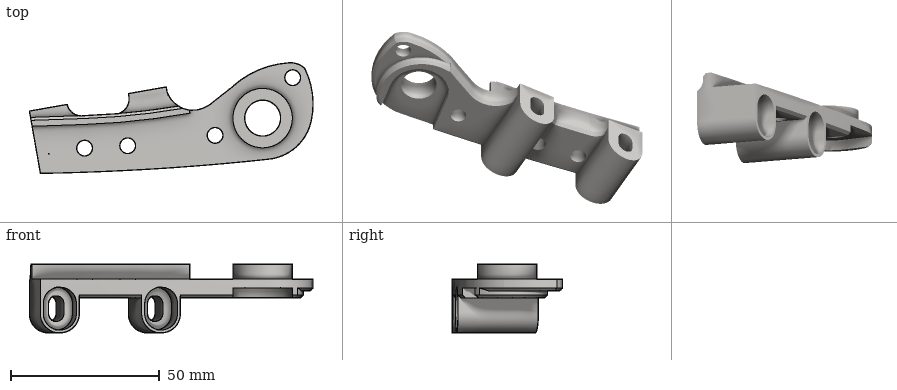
import math

import cadquery as cq


LIP_TOP = 5.0
SHELF_Z = -1.75
WEB_BOTTOM = -3.0
TAIL_BOTTOM = -4.0
ARM_BOTTOM = -6.35
MOUNT_BOTTOM = -18.15
BOTTOM_CHAMFER = 1.0
BEVEL_ANGLE = 45.0

BEARING_BORE = 12.0
BEARING_SEAT = 20.0
SMALL_HOLE = 5.2
SMALL_HOLE_CENTRES = [(-59.9, -10.1), (-45.4, -9.3), (-16.0, -5.8), (10.1, 13.6)]

DEEP_END_CENTRE = (-1.55, -1.7)
DEEP_END_RADIUS = 15.3
DEEP_END_START = -7.0

MOUNT_ANGLE = 10.0
MOUNT_CORNER = (-78.5, 2.4)
MOUNT_WIDTH = 13.0
MOUNT_PITCH = 33.8
MOUNT_WALL = 1.0
END_WALL = 15.4
FIRST_FLANK = 0.5
SECOND_LEFT_FLANK = 1.0
SECOND_RIGHT_FLANK = 1.9
SECOND_CORNER_TURN = 2.7
ARM_END_LENGTH = 21.35
SLOT_WIDTH = 5.2
SLOT_SPACING = 3.4

LIP_WIDTH = 3.0
LIP_CHAMFER = 1.0
COVE_RADIUS = 4.75
LIP_BEND = (-60.0, -2.13)
LIP_SLOPE = 2.0
LIP_RADIUS = 250.0
LIP_SWEEP = 8.2
LIP_LEAD = 20.0

REACH = 60.0


def mount_point(along, back):
    """Plan position from distances along the mount ends and towards the front."""
    angle = math.radians(MOUNT_ANGLE)
    x = MOUNT_CORNER[0] + along * math.cos(angle) + back * math.sin(angle)
    y = MOUNT_CORNER[1] + along * math.sin(angle) - back * math.cos(angle)
    return (x, y)


def lip_point(turn, outward=0.0):
    """Point on the curved lip edge after a turn in degrees, moved outward."""
    start = math.radians(LIP_SLOPE)
    angle = math.radians(LIP_SLOPE + turn)
    centre_x = LIP_BEND[0] - LIP_RADIUS * math.sin(start)
    centre_y = LIP_BEND[1] + LIP_RADIUS * math.cos(start)
    radius = LIP_RADIUS - outward
    return (centre_x + radius * math.sin(angle), centre_y - radius * math.cos(angle))


def prism(profile, bottom, top):
    """Upright body between two heights from a plan drawn at Z = 0."""
    return profile.extrude(top - bottom).translate((0, 0, bottom))


def arm_outline():
    """Plan of the whole arm, counter-clockwise from its front left corner."""
    second = MOUNT_PITCH
    return (
        cq.Workplane("XY")
        .moveTo(*mount_point(0, ARM_END_LENGTH))
        .threePointArc((-40.4, -17.35), (1.6, -13.9))
        .threePointArc((11.3, -9.7), (16.37, -1.0))
        .tangentArcPoint((14.2, 16.7), relative=False)
        .threePointArc((11.9, 18.2), (8.5, 18.61))
        .threePointArc((-0.2, 16.7), (-10.0, 10.7))
        .lineTo(-16.5, 5.6)
        .threePointArc((-19.3, 3.7), (-22.0, 2.8))
        .lineTo(-24.3, 2.7)
        .threePointArc((-29.2, 4.7), mount_point(second + MOUNT_WIDTH, SECOND_RIGHT_FLANK))
        .lineTo(*mount_point(second + MOUNT_WIDTH, 0))
        .lineTo(*mount_point(second, 0))
        .lineTo(*mount_point(second, SECOND_LEFT_FLANK))
        .tangentArcPoint(lip_point(SECOND_CORNER_TURN, LIP_WIDTH), relative=False)
        .threePointArc(lip_point(SECOND_CORNER_TURN / 2, LIP_WIDTH), lip_point(0, LIP_WIDTH))
        .threePointArc((-64.2, 2.0), mount_point(MOUNT_WIDTH, FIRST_FLANK))
        .lineTo(*mount_point(MOUNT_WIDTH, 0))
        .lineTo(*mount_point(0, 0))
        .close()
    )


def along_lip(section):
    """Sweep a section, drawn as (outward, height), along the inner edge of the lip."""
    slope = math.radians(LIP_SLOPE)
    start_x = LIP_BEND[0] - LIP_LEAD * math.cos(slope)
    start_y = LIP_BEND[1] - LIP_LEAD * math.sin(slope)
    path = (
        cq.Workplane("XY")
        .moveTo(start_x, start_y)
        .lineTo(*LIP_BEND)
        .threePointArc(lip_point(LIP_SWEEP / 2), lip_point(LIP_SWEEP))
    )
    plane = cq.Plane(
        origin=(start_x, start_y, 0),
        xDir=(-math.sin(slope), math.cos(slope), 0),
        normal=(math.cos(slope), math.sin(slope), 0),
    )
    return section(cq.Workplane(plane)).sweep(path)


def lip_section(plane):
    """Lip with a chamfered outer top and a hollow fillet at its outer foot."""
    tangent_z = SHELF_Z + COVE_RADIUS
    diagonal = COVE_RADIUS * (1 - math.sqrt(0.5))
    return (
        plane.moveTo(0, SHELF_Z)
        .lineTo(0, LIP_TOP)
        .lineTo(LIP_WIDTH - LIP_CHAMFER, LIP_TOP)
        .lineTo(LIP_WIDTH, LIP_TOP - LIP_CHAMFER)
        .lineTo(LIP_WIDTH, tangent_z)
        .threePointArc(
            (LIP_WIDTH + diagonal, SHELF_Z + diagonal),
            (LIP_WIDTH + COVE_RADIUS, SHELF_Z),
        )
        .close()
    )


def shelf_section(plane):
    """Everything above the shelf outside the lip."""
    return (
        plane.moveTo(LIP_WIDTH, SHELF_Z)
        .lineTo(LIP_WIDTH, LIP_TOP)
        .lineTo(REACH, LIP_TOP)
        .lineTo(REACH, SHELF_Z)
        .close()
    )


def deep_end_circle():
    return cq.Workplane("XY").center(*DEEP_END_CENTRE).circle(DEEP_END_RADIUS)


def bevelled(outline, bottom):
    """Body of a plan function from Z = 0 down to the bottom height, bevelled around its bottom edge."""
    bevel_top = bottom + BOTTOM_CHAMFER
    upright = prism(outline(), bevel_top, 0)
    bevel = outline().extrude(-BOTTOM_CHAMFER, taper=BEVEL_ANGLE).translate((0, 0, bevel_top))
    return upright.union(bevel)


def arm_body():
    """Deep arm joined to the thinner tail, both bevelled below."""
    round_end = bevelled(deep_end_circle, ARM_BOTTOM)
    arm_side = (
        cq.Workplane("XY")
        .box(2 * REACH, 2 * REACH, 2 * REACH)
        .translate((DEEP_END_START - REACH, 0, 0))
    )
    deep = bevelled(arm_outline, ARM_BOTTOM).intersect(round_end.union(arm_side))
    return bevelled(arm_outline, TAIL_BOTTOM).union(deep)


def rear_lip():
    """Lip with its chamfer and hollow fillet, trimmed to the arm outline."""
    return along_lip(lip_section).intersect(prism(arm_outline(), SHELF_Z, LIP_TOP))


def mount_frame(back):
    """Upright plane across the mounts, facing the front; local X runs along their ends."""
    x, y = mount_point(0, back)
    angle = math.radians(MOUNT_ANGLE)
    return cq.Plane(
        origin=(x, y, 0),
        xDir=(math.cos(angle), math.sin(angle), 0),
        normal=(math.sin(angle), -math.cos(angle), 0),
    )


def mount_centres():
    z = MOUNT_BOTTOM + MOUNT_WIDTH / 2 + SLOT_SPACING / 2
    return [(MOUNT_WIDTH / 2, z), (MOUNT_PITCH + MOUNT_WIDTH / 2, z)]


def mounts():
    """Round-bottomed blocks below the shelf, cut off flush with the front edge."""
    block = cq.Workplane(mount_frame(0))
    radius = MOUNT_WIDTH / 2
    round_z = MOUNT_BOTTOM + radius
    for left in (0, MOUNT_PITCH):
        block = (
            block.moveTo(left, SHELF_Z)
            .lineTo(left, round_z)
            .threePointArc((left + radius, MOUNT_BOTTOM), (left + MOUNT_WIDTH, round_z))
            .lineTo(left + MOUNT_WIDTH, SHELF_Z)
            .close()
        )
    return block.extrude(REACH).intersect(prism(arm_outline(), MOUNT_BOTTOM, 0))


def mount_slots():
    """Wide pockets open to the front and narrow slots through the far wall."""
    pocket_width = MOUNT_WIDTH - 2 * MOUNT_WALL
    slots = (
        cq.Workplane(mount_frame(0))
        .pushPoints(mount_centres())
        .slot2D(SLOT_SPACING + SLOT_WIDTH, SLOT_WIDTH, 90)
        .extrude(REACH)
    )
    pockets = (
        cq.Workplane(mount_frame(END_WALL))
        .pushPoints(mount_centres())
        .slot2D(SLOT_SPACING + pocket_width, pocket_width, 90)
        .extrude(REACH)
    )
    return slots.union(pockets)


def bearing_recess():
    """Round seat below the web, open to the front edge."""
    seat = cq.Workplane("XY").circle(BEARING_SEAT / 2)
    channel = cq.Workplane("XY").center(0, -REACH / 2).rect(BEARING_SEAT, REACH)
    return prism(seat, ARM_BOTTOM, WEB_BOTTOM).union(prism(channel, ARM_BOTTOM, WEB_BOTTOM))


def through_holes():
    bore = cq.Workplane("XY").circle(BEARING_BORE / 2)
    small = cq.Workplane("XY").pushPoints(SMALL_HOLE_CENTRES).circle(SMALL_HOLE / 2)
    return prism(bore, ARM_BOTTOM, LIP_TOP).union(prism(small, ARM_BOTTOM, LIP_TOP))


boss = prism(cq.Workplane("XY").circle(BEARING_SEAT / 2), WEB_BOTTOM, LIP_TOP)

result = (
    arm_body()
    .union(mounts())
    .cut(along_lip(shelf_section))
    .union(rear_lip())
    .cut(bearing_recess())
    .union(boss)
    .cut(mount_slots())
    .cut(through_holes())
)